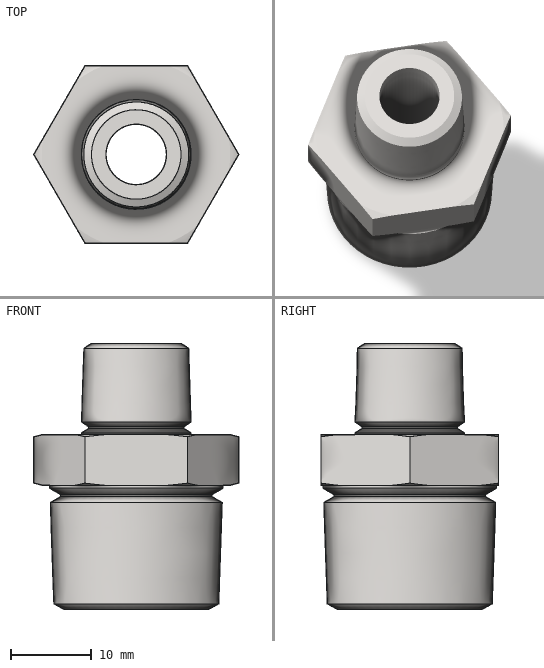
import cadquery as cq
import math

total_height = 33.0
bore_radius = 3.73
across_flats = 22.0
hex_bottom = 15.4
hex_top = 21.68
hex_face_radius = 11.68
hex_corner_drop = 0.25
envelope_margin = 0.33

lower_end_radius = 8.9
lower_tip_radius = 10.23
lower_root_radius = 10.65
lower_chamfer_height = 0.73
lower_thread_top = 13.25
lower_groove_radius = 9.4
lower_groove_bottom = 14.0
lower_groove_top = 14.25
lower_collar_radius = 10.75
lower_collar_bottom = 15.05

upper_end_radius = 5.55
upper_tip_radius = 6.5
upper_root_radius = 6.8
upper_chamfer_height = 0.63
upper_thread_bottom = 23.25
upper_groove_radius = 5.95
upper_groove_top = 22.67
upper_groove_bottom = 22.45
upper_collar_top = 21.9

hex_corner_radius = across_flats / math.sqrt(3)


def revolve_outline(points):
    """Revolve a (radius, height) outline around the Z axis."""
    return cq.Workplane("XZ").polyline(points).close().revolve(360, (0, 0), (0, 1))


def make_fitting_body():
    """Both threads with their relief grooves, joined by a core inside the hexagon."""
    return revolve_outline([
        (0, 0),
        (lower_end_radius, 0),
        (lower_tip_radius, lower_chamfer_height),
        (lower_root_radius, lower_thread_top),
        (lower_groove_radius, lower_groove_bottom),
        (lower_groove_radius, lower_groove_top),
        (lower_collar_radius, lower_collar_bottom),
        (lower_collar_radius, hex_bottom),
        (upper_root_radius, hex_top),
        (upper_root_radius, upper_collar_top),
        (upper_groove_radius, upper_groove_bottom),
        (upper_groove_radius, upper_groove_top),
        (upper_root_radius, upper_thread_bottom),
        (upper_tip_radius, total_height - upper_chamfer_height),
        (upper_end_radius, total_height),
        (0, total_height),
    ])


def make_hexagon():
    """Hexagon with corners on the X axis, corners turned off conically at both ends."""
    hexagon = (
        cq.Workplane("XY", origin=(0, 0, hex_bottom))
        .polygon(6, 2 * hex_corner_radius)
        .extrude(hex_top - hex_bottom)
    )
    slope = hex_corner_drop / (hex_corner_radius - hex_face_radius)
    envelope_radius = hex_corner_radius + envelope_margin
    envelope_drop = slope * (envelope_radius - hex_face_radius)
    envelope = revolve_outline([
        (0, hex_bottom),
        (hex_face_radius, hex_bottom),
        (envelope_radius, hex_bottom + envelope_drop),
        (envelope_radius, hex_top - envelope_drop),
        (hex_face_radius, hex_top),
        (0, hex_top),
    ])
    return hexagon.intersect(envelope)


bore = cq.Workplane("XY").circle(bore_radius).extrude(total_height)
result = make_fitting_body().union(make_hexagon()).cut(bore)